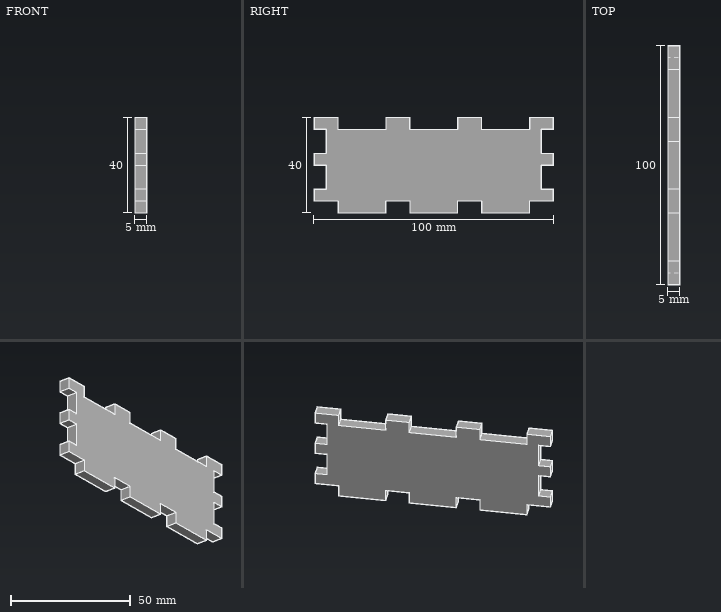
import cadquery as cq

length = 100.0
height = 40.0
thickness = 5.0
tab_depth = thickness

long_tab = 20.0
short_tab = 10.0
long_pitch = long_tab + short_tab
top_tab_count = 4
bottom_tab_count = 3

end_tab = 5.0
end_gap = 10.0
end_pitch = end_tab + end_gap
end_tab_count = 2


def block(y_size, z_size, y_center, z_center):
    """Full-thickness rectangular block centred at the given point."""
    return cq.Workplane("XY").box(thickness, y_size, z_size).translate((0, y_center, z_center))


def centered_positions(count, pitch):
    """Evenly spaced positions, symmetric about zero."""
    return [(i - (count - 1) / 2) * pitch for i in range(count)]


panel_length = length - 2 * tab_depth
panel_height = height - 2 * tab_depth
result = block(panel_length, panel_height, 0, 0)

edge_tab_z = (height - tab_depth) / 2
for y in centered_positions(top_tab_count, long_pitch):
    result = result.union(block(short_tab, tab_depth, y, edge_tab_z))
for y in centered_positions(bottom_tab_count, long_pitch):
    result = result.union(block(long_tab, tab_depth, y, -edge_tab_z))

lowest_end_tab_z = (end_tab - panel_height) / 2
end_tab_y = (length - tab_depth) / 2
for i in range(end_tab_count):
    z = lowest_end_tab_z + i * end_pitch
    for y in (-end_tab_y, end_tab_y):
        result = result.union(block(tab_depth, end_tab, y, z))

result = result.clean()